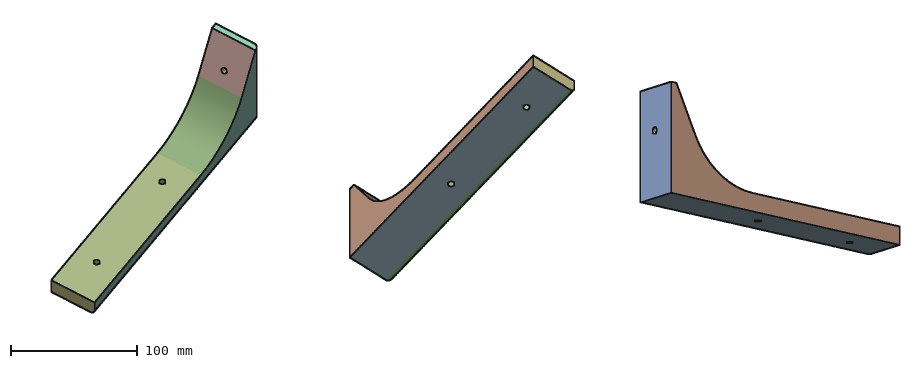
import cadquery as cq
import math

width = 41.0
length = 237.0
height = 91.2

arm_thickness = 15.2
tip_thickness = 5.5
slope_rise_per_run = 2.0
arc_radius = 66.0
slope = math.atan(slope_rise_per_run)

edge_radius = 4.7

hole_diameter = 5.0
arm_hole_places = [(20.1, 34.8), (19.2, 130.8)]
slope_hole_x = 20.1
slope_hole_height = 64.7


def slope_y(z):
    """Y of the sloped face at height z."""
    return length - tip_thickness - (height - z) / slope_rise_per_run


def bracket_body():
    """Side profile drawn in the YZ plane and extruded along X."""
    arc_end_z = arm_thickness + arc_radius * (1 - math.cos(slope))
    arc_end_y = slope_y(arc_end_z)
    arc_start_y = arc_end_y - arc_radius * math.sin(slope)
    arc_middle = (
        arc_start_y + arc_radius * math.sin(slope / 2),
        arm_thickness + arc_radius * (1 - math.cos(slope / 2)),
    )
    return (
        cq.Workplane("YZ")
        .moveTo(0, 0)
        .lineTo(0, arm_thickness)
        .lineTo(arc_start_y, arm_thickness)
        .threePointArc(arc_middle, (arc_end_y, arc_end_z))
        .lineTo(length - tip_thickness, height)
        .lineTo(length, height)
        .lineTo(length, 0)
        .close()
        .extrude(width)
    )


def hole_cutter(center, direction):
    """Screw hole cylinder reaching equally far to both sides of center."""
    reach = height / 2
    axis = cq.Vector(*direction)
    start = cq.Vector(*center) - axis * reach
    return cq.Workplane(cq.Solid.makeCylinder(hole_diameter / 2, 2 * reach, start, axis))


body = bracket_body()
bottom_edge = body.faces("<Z").edges(">X")
back_edge = body.faces(">Y").edges(">X")
result = bottom_edge.add(back_edge).fillet(edge_radius)

for x, y in arm_hole_places:
    result = result.cut(hole_cutter((x, y, 0), (0, 0, 1)))

slope_hole_center = (slope_hole_x, slope_y(slope_hole_height), slope_hole_height)
slope_hole_axis = (0, math.sin(slope), -math.cos(slope))
result = result.cut(hole_cutter(slope_hole_center, slope_hole_axis))